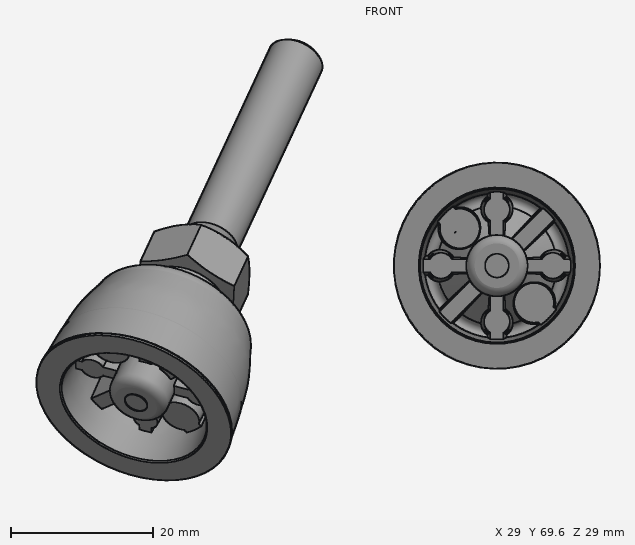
import cadquery as cq
import math


stud_end = 69.6
thread_radius = 8.0 / 2
end_chamfer = 0.7
thread_start = 32.8
undercut_radius = 3.05
undercut_top = 30.8
undercut_bottom = 30.2
undercut_flare = 0.15
undercut_flare_height = 0.5
hex_top = 29.7
hex_bottom = 22.05
hex_flats = 14.0
hex_turn = 30.0
hex_top_flat_radius = 6.3
hex_top_chamfer_angle = 30.0
hex_bottom_chamfer_angle = 20.0
neck_radius = 6.0
ball_radius = 7.0
ball_center = 15.95

base_radius = 29.0 / 2
lip_height = 0.5
skirt_top_radius = 14.4
skirt_mid = (14.2, 3.3)
waist_radius = 14.0
waist_height = 5.9
waist_bevel = (0.1, 0.2)
bell_mid = (13.3, 11.0)
shoulder = (11.9, 15.7)
shoulder_mid = (11.35, 17.1)
foot_top = 17.95
top_flat_radius = 9.8

mouth_radius = 11.0
mouth_chamfer = 0.2
rib_face = 5.0
cavity_radius = 10.4
cavity_deep_radius = 10.15
hub_radius = 4.3
hub_face = 1.0
hub_face_radius = 3.1
hub_round = 1.5
socket_start = 8.55
socket_end = (8.4, 13.5)
cavity_roof = (9.55, 14.2)
cavity_wall_end = 13.2
mark_radius = 1.7
mark_depth = 0.15

rib_width = 1.8
rib_boss_radius = 1.8
rib_boss_distance = 7.85
diagonal_rib_width = 2.3
diagonal_rib_angle = -45.0
pad_radius = 2.8
pad_distance = 7.4
pad_web_width = 3.05
rib_draft = 3.0
pad_draft = 1.5
rib_depth = foot_top - rib_face


def turn(profile):
    """Revolve a closed profile about the Y axis."""
    return profile.close().revolve(360, (0, 0, 0), (0, 1, 0))


def make_ball():
    """Ball of the stud, also the tool that hollows its seat in the foot."""
    return cq.Workplane("XY").sphere(ball_radius).translate((0, ball_center, 0))


def make_hexagon():
    """Hexagon with corners at +Z and -Z and a chamfer turned on both ends."""
    corner_radius = hex_flats / math.sqrt(3)
    height = hex_top - hex_bottom
    prism = (
        cq.Workplane("XZ", origin=(0, hex_top, 0))
        .polygon(6, 2 * corner_radius)
        .extrude(height)
        .rotate((0, 0, 0), (0, 1, 0), hex_turn)
    )
    top_drop = (corner_radius - hex_top_flat_radius) * math.tan(math.radians(hex_top_chamfer_angle))
    bottom_rise = (corner_radius - neck_radius) * math.tan(math.radians(hex_bottom_chamfer_angle))
    envelope = turn(
        cq.Workplane("XY")
        .moveTo(0, hex_bottom)
        .lineTo(neck_radius, hex_bottom)
        .lineTo(corner_radius, hex_bottom + bottom_rise)
        .lineTo(corner_radius, hex_top - top_drop)
        .lineTo(hex_top_flat_radius, hex_top)
        .lineTo(0, hex_top)
    )
    return prism.intersect(envelope)


def make_stud():
    """Rod with undercut, hexagon, neck and ball as one body."""
    flared_radius = undercut_radius + undercut_flare
    rod = turn(
        cq.Workplane("XY")
        .moveTo(0, hex_top)
        .lineTo(flared_radius, hex_top)
        .lineTo(undercut_radius, undercut_bottom)
        .lineTo(undercut_radius, undercut_top)
        .lineTo(flared_radius, undercut_top + undercut_flare_height)
        .lineTo(thread_radius, thread_start)
        .lineTo(thread_radius, stud_end - end_chamfer)
        .lineTo(thread_radius - end_chamfer, stud_end)
        .lineTo(0, stud_end)
    )
    neck = (
        cq.Workplane("XZ", origin=(0, hex_bottom, 0))
        .circle(neck_radius)
        .extrude(hex_bottom - ball_center)
    )
    return rod.union(make_hexagon()).union(neck).union(make_ball())


def make_foot_blank():
    bevel_radial, bevel_axial = waist_bevel
    return turn(
        cq.Workplane("XY")
        .lineTo(base_radius, 0)
        .lineTo(base_radius, lip_height)
        .lineTo(skirt_top_radius, lip_height)
        .threePointArc(skirt_mid, (waist_radius, waist_height))
        .lineTo(waist_radius - bevel_radial, waist_height + bevel_axial)
        .threePointArc(bell_mid, shoulder)
        .threePointArc(shoulder_mid, (top_flat_radius, foot_top))
        .lineTo(0, foot_top)
    )


def make_cavity():
    """The open space under the foot, around the hub, before ribs and pads fill parts of it."""
    chamfered_radius = mouth_radius - mouth_chamfer
    round_center = hub_radius - hub_round
    round_height = math.sqrt(hub_round**2 - (hub_face_radius - round_center) ** 2)
    round_start = hub_face + round_height
    diagonal = hub_round * math.sqrt(0.5)
    round_mid = (round_center + diagonal, round_start - diagonal)
    return turn(
        cq.Workplane("XY")
        .lineTo(mouth_radius, 0)
        .lineTo(chamfered_radius, mouth_chamfer)
        .lineTo(cavity_radius, rib_face)
        .lineTo(cavity_deep_radius, cavity_wall_end)
        .threePointArc(cavity_roof, socket_end)
        .lineTo(hub_radius, socket_start)
        .lineTo(hub_radius, round_start)
        .threePointArc(round_mid, (hub_face_radius, hub_face))
        .lineTo(0, hub_face)
    )


def drafted(sketch, draft):
    """Raise a shape from the rib face into the cavity, widening with depth."""
    return sketch.extrude(-rib_depth, taper=-draft)


def rib_plane():
    return cq.Workplane("XZ", origin=(0, rib_face, 0))


def make_ribs_and_pads():
    """Cross ribs with round bosses, one diagonal rib and two round pads, all reaching past the wall."""
    length = 2 * mouth_radius
    diagonal_rib = drafted(rib_plane().rect(length, diagonal_rib_width), pad_draft)
    ribs = diagonal_rib.rotate((0, 0, 0), (0, 1, 0), diagonal_rib_angle)
    for bar_size in ((length, rib_width), (rib_width, length)):
        ribs = ribs.union(drafted(rib_plane().rect(*bar_size), rib_draft))
    for angle in (0, 90, 180, 270):
        boss = drafted(rib_plane().center(rib_boss_distance, 0).circle(rib_boss_radius), rib_draft)
        ribs = ribs.union(boss.rotate((0, 0, 0), (0, 1, 0), angle))
    for angle in (diagonal_rib_angle + 90, diagonal_rib_angle - 90):
        pad = drafted(rib_plane().center(pad_distance, 0).circle(pad_radius), pad_draft)
        web_outline = rib_plane().center((pad_distance + mouth_radius) / 2, 0)
        web = drafted(web_outline.rect(mouth_radius - pad_distance, pad_web_width), pad_draft)
        ribs = ribs.union(pad.union(web).rotate((0, 0, 0), (0, 1, 0), angle))
    return ribs


def make_foot():
    """Bell-shaped foot with its ribbed underside and the seat of the ball."""
    mark = cq.Workplane("XZ", origin=(0, hub_face, 0)).circle(mark_radius).extrude(-mark_depth)
    cavity = make_cavity().cut(make_ribs_and_pads())
    return make_foot_blank().cut(cavity).cut(mark).cut(make_ball())


stud = make_stud()
foot = make_foot()
result = cq.Compound.makeCompound([stud.solids().val(), foot.solids().val()])